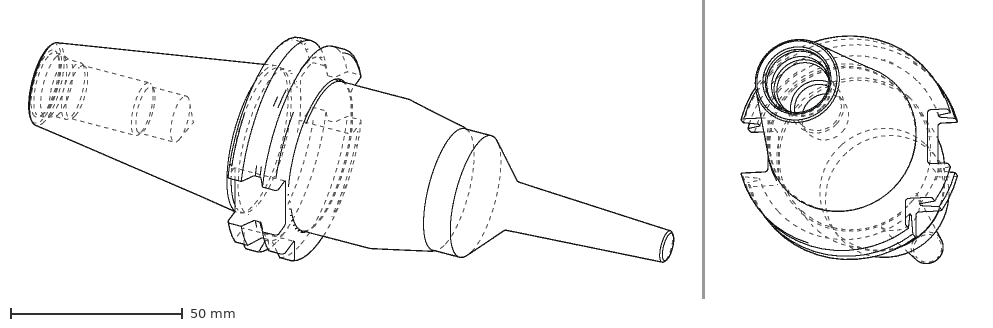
import cadquery as cq
import math

LENGTH = 198.2

TOLERANCE = 0.002

TAPER_SMALL_RADIUS = 12.5
TAPER_LARGE_RADIUS = 22.2
TAPER_END = 67.6
TAPER_EDGE_CHAMFER = 0.5

RELIEF_RADIUS = 21.8
RELIEF_START = 68.8
RELIEF_FILLET = 1.0

FLANGE_START = 71.4
FLANGE_WIDTH = 16.0
FLANGE_DIAMETER = 63.6
FLANGE_RADIUS = FLANGE_DIAMETER / 2
FLANGE_EDGE_RADIUS = 1.0
FLANGE_BODY_FILLET = 0.5
FLANGE_END = FLANGE_START + FLANGE_WIDTH
GROOVE_CENTER = 79.3
GROOVE_ROOT_WIDTH = 2.2
GROOVE_ROOT_FILLET = 0.5
GROOVE_DEPTH = 4.0
GROOVE_HALF_ANGLE = 30.0

SLOT_WIDTH = 16.3
HALF_SLOT = SLOT_WIDTH / 2
SLOT_FLOOR_FRONT = 24.8
SLOT_FLOOR_BACK = 22.6
NOTCH_OFFSET = 18.2
SLOT_CORNER_RADIUS = 1.0
CUTTER_REACH = FLANGE_RADIUS + 2 * SLOT_CORNER_RADIUS

BODY_DIAMETER = 45.0
BODY_RADIUS = BODY_DIAMETER / 2
BODY_END = 109.5
SHOULDER_END = 127.5
SHOULDER_RADIUS = 18.8
COLLAR_START = 128.5
COLLAR_DIAMETER = 36.7
COLLAR_RADIUS = COLLAR_DIAMETER / 2
COLLAR_END = 137.5
COLLAR_CHAMFER = 0.5
NOSE_START = 147.9
NOSE_RADIUS = 7.3
NOSE_FILLET = 2.0
TIP_RADIUS = 4.8
TIP_CHAMFER = 0.5

MOUTH_RADIUS = 10.1
MOUTH_CHAMFER = 0.5
COUNTERBORE_RADIUS = MOUTH_RADIUS - MOUTH_CHAMFER
COUNTERBORE_DEPTH = 2.8
PILOT_START = 5.2
PILOT_RADIUS = 8.5
PILOT_END = 9.0
THREAD_START = 10.1
THREAD_RADIUS = 8.0
THREAD_END = 32.0
DRILL_RADIUS = 7.0
DRILL_DEPTH = 43.0
DRILL_POINT_ANGLE = 118.0


def revolve_about_x(points):
    """Turn a closed (x, radius) outline about the X axis."""
    return cq.Workplane("XY").polyline(points).close().revolve(360, (0, 0, 0), (1, 0, 0))


def round_ring(body, x, radius, fillet_radius):
    """Fillet the full-circle edge of the given radius at position x."""
    near_x = cq.selectors.BoxSelector((x - TOLERANCE, -LENGTH, -LENGTH), (x + TOLERANCE, LENGTH, LENGTH))
    rings = body.edges("%CIRCLE").edges(near_x)
    return rings.filter(lambda edge: abs(edge.radius() - radius) < TOLERANCE).fillet(fillet_radius)


def make_turned_body():
    groove_root_half = GROOVE_ROOT_WIDTH / 2
    groove_top_half = groove_root_half + GROOVE_DEPTH * math.tan(math.radians(GROOVE_HALF_ANGLE))
    groove_root_radius = FLANGE_RADIUS - GROOVE_DEPTH
    body = revolve_about_x([
        (0, 0),
        (0, TAPER_SMALL_RADIUS - TAPER_EDGE_CHAMFER),
        (TAPER_EDGE_CHAMFER, TAPER_SMALL_RADIUS),
        (TAPER_END, TAPER_LARGE_RADIUS),
        (RELIEF_START, RELIEF_RADIUS),
        (FLANGE_START, RELIEF_RADIUS),
        (FLANGE_START, FLANGE_RADIUS),
        (GROOVE_CENTER - groove_top_half, FLANGE_RADIUS),
        (GROOVE_CENTER - groove_root_half, groove_root_radius),
        (GROOVE_CENTER + groove_root_half, groove_root_radius),
        (GROOVE_CENTER + groove_top_half, FLANGE_RADIUS),
        (FLANGE_END, FLANGE_RADIUS),
        (FLANGE_END, BODY_RADIUS),
        (BODY_END, BODY_RADIUS),
        (SHOULDER_END, SHOULDER_RADIUS),
        (COLLAR_START, COLLAR_RADIUS),
        (COLLAR_END - COLLAR_CHAMFER, COLLAR_RADIUS),
        (COLLAR_END, COLLAR_RADIUS - COLLAR_CHAMFER),
        (NOSE_START, NOSE_RADIUS),
        (LENGTH - TIP_CHAMFER, TIP_RADIUS),
        (LENGTH, TIP_RADIUS - TIP_CHAMFER),
        (LENGTH, 0),
    ])
    rounded_rings = [
        (FLANGE_START, RELIEF_RADIUS, RELIEF_FILLET),
        (FLANGE_START, FLANGE_RADIUS, FLANGE_EDGE_RADIUS),
        (GROOVE_CENTER - groove_root_half, groove_root_radius, GROOVE_ROOT_FILLET),
        (GROOVE_CENTER + groove_root_half, groove_root_radius, GROOVE_ROOT_FILLET),
        (FLANGE_END, FLANGE_RADIUS, FLANGE_EDGE_RADIUS),
        (FLANGE_END, BODY_RADIUS, FLANGE_BODY_FILLET),
        (NOSE_START, NOSE_RADIUS, NOSE_FILLET),
    ]
    for x, radius, fillet_radius in rounded_rings:
        body = round_ring(body, x, radius, fillet_radius)
    return body


def make_bore():
    thread_runout = THREAD_RADIUS - DRILL_RADIUS
    point_length = DRILL_RADIUS / math.tan(math.radians(DRILL_POINT_ANGLE / 2))
    return revolve_about_x([
        (0, 0),
        (0, MOUTH_RADIUS),
        (MOUTH_CHAMFER, COUNTERBORE_RADIUS),
        (COUNTERBORE_DEPTH, COUNTERBORE_RADIUS),
        (PILOT_START, PILOT_RADIUS),
        (PILOT_END, PILOT_RADIUS),
        (THREAD_START, THREAD_RADIUS),
        (THREAD_END - thread_runout, THREAD_RADIUS),
        (THREAD_END, DRILL_RADIUS),
        (DRILL_DEPTH, DRILL_RADIUS),
        (DRILL_DEPTH + point_length, 0),
    ])


def flange_cutter(y_from, y_to, z_from, z_to):
    """Block spanning the flange width, with its X-direction edges rounded."""
    return (
        cq.Workplane("XY")
        .box(FLANGE_WIDTH, y_to - y_from, z_to - z_from, centered=False)
        .translate((FLANGE_START, y_from, z_from))
        .edges("|X")
        .fillet(SLOT_CORNER_RADIUS)
    )


front_slot = flange_cutter(-CUTTER_REACH, -SLOT_FLOOR_FRONT, -HALF_SLOT, HALF_SLOT)
back_slot = flange_cutter(SLOT_FLOOR_BACK, CUTTER_REACH, -HALF_SLOT, HALF_SLOT)
notch = flange_cutter(-CUTTER_REACH, -NOTCH_OFFSET, -CUTTER_REACH, -NOTCH_OFFSET)

result = make_turned_body().cut(make_bore()).cut(front_slot).cut(back_slot).cut(notch)